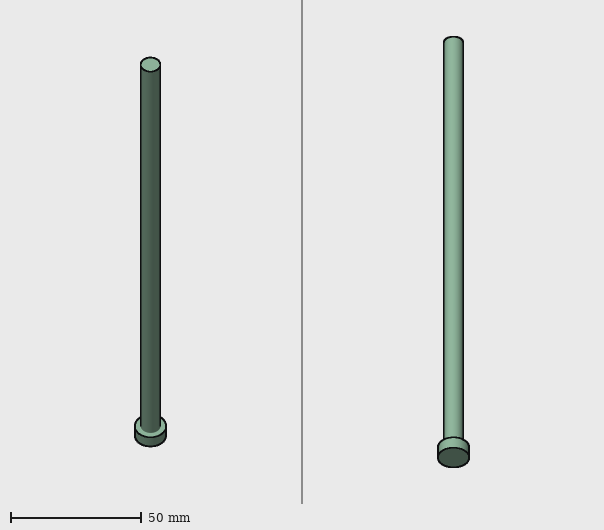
import cadquery as cq

total_length = 205.0
head_diameter = 12.0
head_height = 5.1
shank_diameter = 7.5
root_fillet_radius = 0.2

head = cq.Workplane("XY").circle(head_diameter / 2).extrude(head_height)

shank = cq.Workplane("XY").circle(shank_diameter / 2).extrude(total_length)

pin = head.union(shank)

root_box_half_side = (shank_diameter + head_diameter) / 4
root_edge = cq.selectors.BoxSelector(
    (-root_box_half_side, -root_box_half_side, head_height - root_fillet_radius),
    (root_box_half_side, root_box_half_side, head_height + root_fillet_radius),
    boundingbox=True,
)
result = pin.edges(root_edge).fillet(root_fillet_radius)